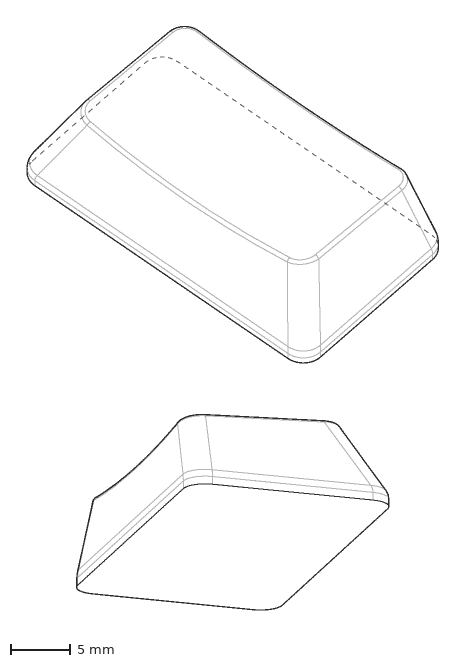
import cadquery as cq
import math

length = 32.45
width = 18.17
corner_radius = 1.95
blend_foot = 0.68
blend_top = 1.33

end_wall_slope = 0.476
front_wall_slope = 0.512
back_wall_slope = 0.08
blank_front_height = 8.1
blank_back_height = 7.43
blank_corner_radius = 1.88

dish_radius = 105.45
dish_tilt = 2.7
dish_floor_height = 6.78
rim_radius = 0.4


def blend_inset(slope, turn):
    """Inset of the arc that turns a wall from upright to its slope; turn runs from 0 to 1."""
    lean = math.atan(slope)
    blend_radius = (blend_top - blend_foot) / math.sin(lean)
    sine = turn * math.sin(lean)
    return blend_radius * (1 - math.sqrt(1 - sine**2))


def wall_inset(slope, height):
    """Distance a wall lies inside the skirt at a given height."""
    if height <= blend_top:
        return blend_inset(slope, (height - blend_foot) / (blend_top - blend_foot))
    return blend_inset(slope, 1) + slope * (height - blend_top)


def wall_section(front_height, back_height, radius):
    """Rounded-rectangle wire through the walls, on a plane that may tip from front to back."""
    front = -width / 2 + wall_inset(front_wall_slope, front_height)
    back = width / 2 - wall_inset(back_wall_slope, back_height)
    span = length - 2 * wall_inset(end_wall_slope, front_height)
    depth = math.hypot(back - front, back_height - front_height)
    tip = math.degrees(math.atan2(back_height - front_height, back - front))
    middle = cq.Vector(0, (front + back) / 2, (front_height + back_height) / 2)
    face = cq.Sketch().rect(span, depth).vertices().fillet(radius).reset().faces().val()
    return face.outerWire().rotate(cq.Vector(0, 0, 0), cq.Vector(1, 0, 0), tip).translate(middle)


def make_body():
    """Upright skirt, curved blend and sloped walls, stacked."""
    foot = wall_section(blend_foot, blend_foot, corner_radius)
    middle_height = (blend_foot + blend_top) / 2
    middle = wall_section(middle_height, middle_height, corner_radius)
    shoulder = wall_section(blend_top, blend_top, corner_radius)
    crown = wall_section(blank_front_height, blank_back_height, blank_corner_radius)
    skirt = cq.Workplane("XY").add(foot).toPending().extrude(-blend_foot)
    blend = cq.Solid.makeLoft([foot, middle, shoulder])
    walls = cq.Solid.makeLoft([shoulder, crown], True)
    return skirt.union(cq.Workplane(blend)).union(cq.Workplane(walls))


def make_dish_cutter():
    """Long tilted cylinder whose lowest line is the floor of the dish."""
    tilt = math.radians(dish_tilt)
    axis = cq.Vector(0, math.cos(tilt), -math.sin(tilt))
    floor_to_axis = cq.Vector(0, math.sin(tilt), math.cos(tilt)) * dish_radius
    start = cq.Vector(0, 0, dish_floor_height) + floor_to_axis - axis * width
    return cq.Workplane(cq.Solid.makeCylinder(dish_radius, 2 * width, start, axis))


dished = make_body().cut(make_dish_cutter())
dish_face = cq.selectors.NearestToPointSelector((0, 0, dish_floor_height))
result = dished.faces(dish_face).edges().fillet(rim_radius)